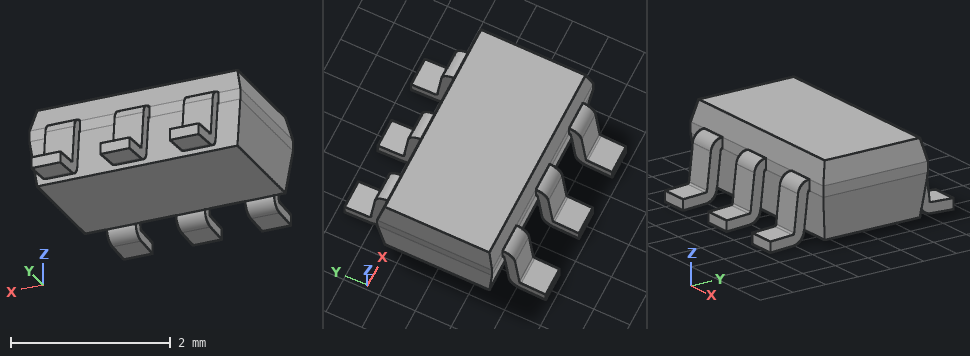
import cadquery as cq
import math

body_length = 2.9
body_width = 1.6
body_bottom = 0.1
band_bottom = 0.705
lead_thickness = 0.15
band_top = band_bottom + lead_thickness
body_top = 1.16
taper_inset = 0.072

lead_count = 3
lead_pitch = 0.95
lead_width = 0.397
lead_span = 2.8
inner_radius = 0.025
outer_radius = inner_radius + lead_thickness
shank_angle = math.radians(6.6)
foot_angle = math.radians(3)


def tapered_block(z_wide, z_narrow):
    """Block that narrows by the taper inset on every side from z_wide to z_narrow."""
    return (
        cq.Workplane("XY").workplane(offset=z_wide)
        .rect(body_length, body_width)
        .workplane(offset=z_narrow - z_wide)
        .rect(body_length - 2 * taper_inset, body_width - 2 * taper_inset)
        .loft(ruled=True)
    )


def make_body():
    band = (
        cq.Workplane("XY").workplane(offset=band_bottom)
        .rect(body_length, body_width)
        .extrude(lead_thickness)
    )
    return band.union(tapered_block(band_top, body_top)).union(tapered_block(band_bottom, body_bottom))


def polar(center, radius, angle):
    """Point at the given radius and angle around a center."""
    return center[0] + radius * math.cos(angle), center[1] + radius * math.sin(angle)


def make_lead():
    """Lead on the +Y side, centered on X = 0; its profile is in (Y, Z)."""
    tip_y = lead_span / 2
    root_y = body_width / 2 - lead_thickness
    upper = (body_width / 2, band_bottom - inner_radius)

    shank_start = polar(upper, inner_radius + outer_radius, shank_angle)
    foot_reach = tip_y - shank_start[0] + outer_radius * math.sin(foot_angle)
    drop = shank_start[1] - outer_radius * math.cos(foot_angle) - foot_reach * math.tan(foot_angle)
    shank_length = drop / (math.cos(shank_angle) - math.sin(shank_angle) * math.tan(foot_angle))
    lower = polar(shank_start, shank_length, shank_angle - math.pi / 2)

    up = math.pi / 2
    upper_middle = (up + shank_angle) / 2
    shank_side = math.pi + shank_angle
    foot_side = 3 * math.pi / 2 - foot_angle
    lower_middle = (shank_side + foot_side) / 2

    foot_top = polar(lower, inner_radius, foot_side)
    tip_top_z = foot_top[1] - (tip_y - foot_top[0]) * math.tan(foot_angle)

    profile = (
        cq.Workplane("YZ").workplane(offset=-lead_width / 2)
        .moveTo(root_y, band_top)
        .lineTo(*polar(upper, outer_radius, up))
        .threePointArc(polar(upper, outer_radius, upper_middle), polar(upper, outer_radius, shank_angle))
        .lineTo(*polar(lower, inner_radius, shank_side))
        .threePointArc(polar(lower, inner_radius, lower_middle), foot_top)
        .lineTo(tip_y, tip_top_z)
        .lineTo(tip_y, 0)
        .lineTo(*polar(lower, outer_radius, foot_side))
        .threePointArc(polar(lower, outer_radius, lower_middle), polar(lower, outer_radius, shank_side))
        .lineTo(*polar(upper, inner_radius, shank_angle))
        .threePointArc(polar(upper, inner_radius, upper_middle), polar(upper, inner_radius, up))
        .lineTo(root_y, band_bottom)
        .close()
    )
    return profile.extrude(lead_width)


result = make_body()
lead = make_lead()
for side in (lead, lead.mirror("XZ")):
    for index in range(lead_count):
        lead_x = (index - (lead_count - 1) / 2) * lead_pitch
        result = result.union(side.translate((lead_x, 0, 0)))